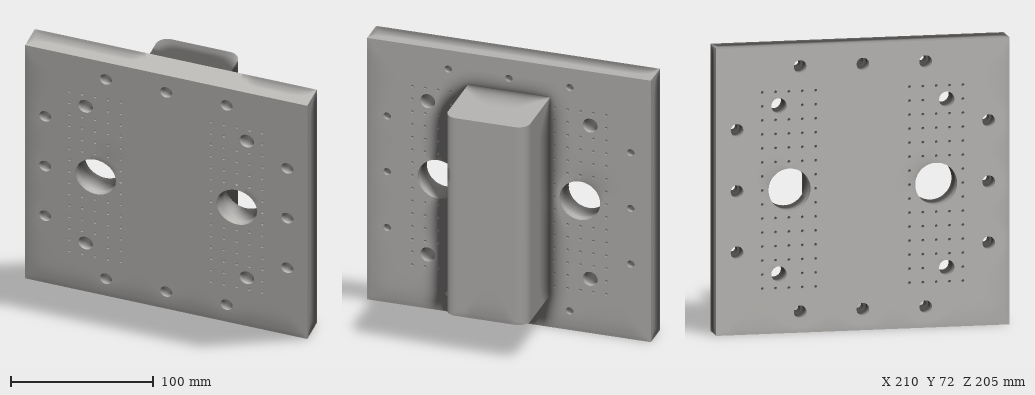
import cadquery as cq

plate_width = 210.0
plate_height = 205.0
plate_thickness = 20.0

total_depth = 72.0
block_width = 61.0
block_height = 155.0
block_depth = total_depth - plate_thickness
block_edge_radius = 8.6

large_hole_diameter = 30.0
large_hole_x = 52.5
large_hole_points = [(-large_hole_x, 0), (large_hole_x, 0)]

mounting_hole_diameter = 11.0
mounting_hole_offset = 60.0
mounting_points = [
    (side_x * mounting_hole_offset, side_z * mounting_hole_offset)
    for side_x in (-1, 1)
    for side_z in (-1, 1)
]

screw_hole_diameter = 5.5
counterbore_diameter = 9.0
counterbore_depth = 12.5
screw_row_z = 87.5
screw_row_pitch = 45.0
screw_column_x = 90.0
screw_column_pitch = 43.7

small_hole_diameter = 2.0
grid_centres_x = (-53.0, 52.5)
grid_columns = 5
grid_rows = 15
grid_width = 38.2
grid_height = 140.0
grid_column_pitch = grid_width / (grid_columns - 1)
grid_row_pitch = grid_height / (grid_rows - 1)
minimum_wall = 1.5


def make_plate():
    """Plate with its front face on Y = 0."""
    return cq.Workplane("XY").box(
        plate_width, plate_thickness, plate_height, centered=(True, False, True)
    )


def make_block():
    """Block that stands on the back face of the plate."""
    block = cq.Workplane("XY").box(
        block_width, block_depth, block_height, centered=(True, False, True)
    )
    block = block.edges("|Z and >Y").fillet(block_edge_radius)
    return block.translate((0, plate_thickness, 0))


def hole_cutters(points, diameter, depth):
    """Cylinders running from the front face in +Y, at (x, z) points."""
    return cq.Workplane("XZ").pushPoints(points).circle(diameter / 2).extrude(-depth)


def screw_points():
    """Three places along each of the four sides of the plate."""
    points = []
    for step in (-1, 0, 1):
        for side in (-1, 1):
            points.append((step * screw_row_pitch, side * screw_row_z))
            points.append((side * screw_column_x, step * screw_column_pitch))
    return points


def is_clear(point, centres, diameter):
    """True if a small hole at the point keeps the minimum wall to all the bigger holes."""
    reach = (diameter + small_hole_diameter) / 2 + minimum_wall
    return all(
        (point[0] - x) ** 2 + (point[1] - z) ** 2 > reach ** 2
        for x, z in centres
    )


def small_hole_points():
    """Grid points, leaving out those too close to a large or mounting hole."""
    points = []
    for centre_x in grid_centres_x:
        for column in range(grid_columns):
            for row in range(grid_rows):
                x = centre_x + column * grid_column_pitch - grid_width / 2
                z = row * grid_row_pitch - grid_height / 2
                clear_of_large = is_clear((x, z), large_hole_points, large_hole_diameter)
                clear_of_mounting = is_clear((x, z), mounting_points, mounting_hole_diameter)
                if clear_of_large and clear_of_mounting:
                    points.append((x, z))
    return points


plate = make_plate()
plate = plate.cut(hole_cutters(large_hole_points, large_hole_diameter, plate_thickness))
plate = plate.cut(hole_cutters(mounting_points, mounting_hole_diameter, plate_thickness))
plate = plate.cut(hole_cutters(screw_points(), screw_hole_diameter, plate_thickness))
plate = plate.cut(hole_cutters(screw_points(), counterbore_diameter, counterbore_depth))
plate = plate.cut(hole_cutters(small_hole_points(), small_hole_diameter, plate_thickness))

result = plate.union(make_block())